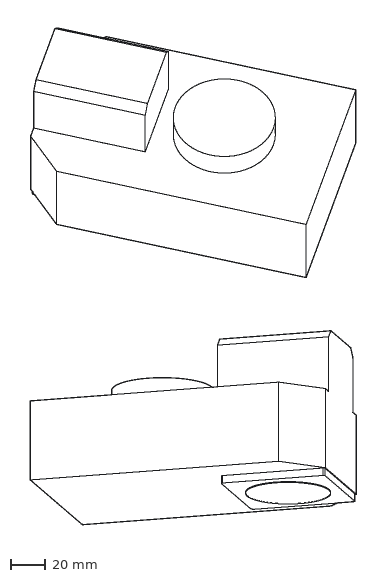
import cadquery as cq

body_length = 174.0
body_width = 108.0
body_height = 48.0
corner_cut = 22.0

block_length = 68.0
block_width = 51.0
block_height = 38.0
block_chamfer = 5.0

boss_diameter = 59.9
boss_height = 15.0
boss_center_x = 109.0

pad_size = 63.5
pad_height = 4.5
pad_corner = 1.0
pad_inset = 0.5
pad_center_x = pad_inset + pad_size / 2
disc_diameter = 50.0
disc_height = 0.5


def make_body():
    """Body with its -X face at X = 0 and its bottom face at Z = 0."""
    box = cq.Workplane("XY").box(
        body_length, body_width, body_height, centered=(False, True, False)
    )
    return box.edges("|Z and <X").chamfer(corner_cut)


def make_block():
    """Raised block standing on the body, flush with its -X face."""
    box = cq.Workplane("XY", origin=(0, 0, body_height)).box(
        block_length, block_width, block_height, centered=(False, True, False)
    )
    return box.edges("|X and >Z").chamfer(block_chamfer)


def make_boss():
    """Round boss standing on the body."""
    base = cq.Workplane("XY", origin=(boss_center_x, 0, body_height))
    return base.circle(boss_diameter / 2).extrude(boss_height)


def make_pad():
    """Square pad hanging below the body, its upright corners chamfered."""
    base = cq.Workplane("XY", origin=(pad_center_x, 0, 0))
    pad = base.rect(pad_size, pad_size).extrude(-pad_height)
    return pad.edges("|Z").chamfer(pad_corner)


def make_disc():
    """Thin disc hanging below the pad, concentric with it."""
    base = cq.Workplane("XY", origin=(pad_center_x, 0, -pad_height))
    return base.circle(disc_diameter / 2).extrude(-disc_height)


result = (
    make_body()
    .union(make_block())
    .union(make_boss())
    .union(make_pad())
    .union(make_disc())
)